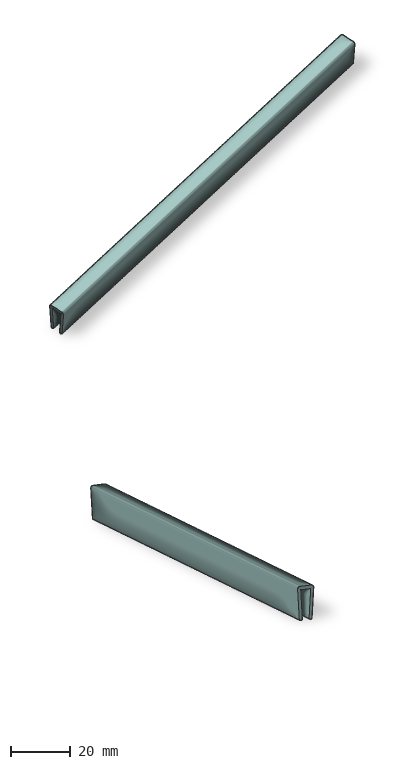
import cadquery as cq
import math

length = 152.4
width = 6.1
height = 11.9
leg_thickness = 1.15
web_thickness = 1.2
corner_radius = 0.9
lean_angle = 3.5

lean = math.radians(lean_angle)
tip_radius = leg_thickness / 2

top_z = height / 2
ceiling_z = top_z - web_thickness
tip_center_z = -height / 2 + tip_radius
corner_center_x = width / 2 - corner_radius
corner_center_z = top_z - corner_radius


def on_circle(center, radius, angle):
    """Point on a circle at an angle (radians) measured from +X towards +Z."""
    return (center[0] + radius * math.cos(angle), center[1] + radius * math.sin(angle))


corner_center = (corner_center_x, corner_center_z)
tip_center_x = (
    corner_center_x
    + (corner_radius - tip_radius) / math.cos(lean)
    - (corner_center_z - tip_center_z) * math.tan(lean)
)
tip_center = (tip_center_x, tip_center_z)

corner_start = (corner_center_x, top_z)
corner_middle = on_circle(corner_center, corner_radius, math.pi / 4)
corner_end = on_circle(corner_center, corner_radius, -lean)
tip_outer = on_circle(tip_center, tip_radius, -lean)
tip_bottom = on_circle(tip_center, tip_radius, -math.pi / 2)
tip_inner = on_circle(tip_center, tip_radius, math.pi - lean)
inner_corner_x = tip_inner[0] + (ceiling_z - tip_inner[1]) * math.tan(lean)


def mirrored(point):
    return (-point[0], point[1])


profile = (
    cq.Workplane("XZ")
    .moveTo(*corner_start)
    .threePointArc(corner_middle, corner_end)
    .lineTo(*tip_outer)
    .threePointArc(tip_bottom, tip_inner)
    .lineTo(inner_corner_x, ceiling_z)
    .lineTo(-inner_corner_x, ceiling_z)
    .lineTo(*mirrored(tip_inner))
    .threePointArc(mirrored(tip_bottom), mirrored(tip_outer))
    .lineTo(*mirrored(corner_end))
    .threePointArc(mirrored(corner_middle), mirrored(corner_start))
    .close()
)

result = profile.extrude(length / 2, both=True)